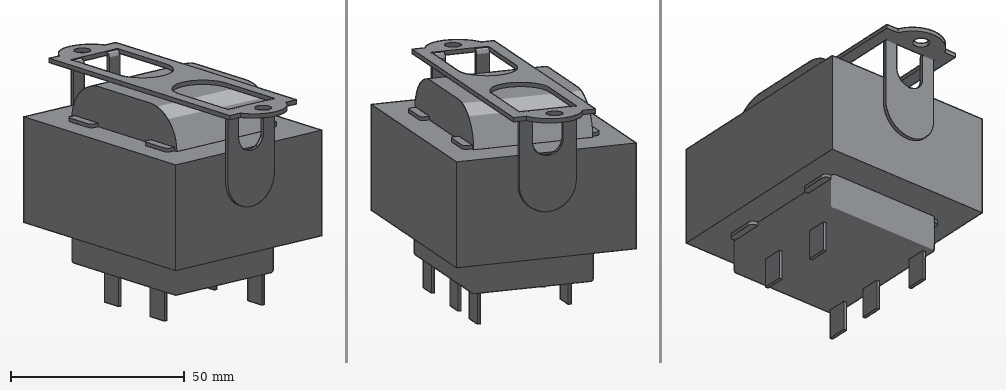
import cadquery as cq
import math

CORE_X = 66.68
CORE_Y = 55.58
CORE_Z = 31.6
CORE_TOP = CORE_Z / 2
CORE_BOTTOM = -CORE_TOP

PLATE_TOP_ABOVE_CORE = 13.3
PLATE_THICKNESS = 1.3
PLATE_X = 79.38
PLATE_Y = 25.4
PLATE_TOP = CORE_TOP + PLATE_TOP_ABOVE_CORE
PLATE_BOTTOM = PLATE_TOP - PLATE_THICKNESS
EAR_SPAN = 90.47
EAR_RADIUS = 9.53
MOUNT_HOLE_DIAMETER = 4.8
MOUNT_HOLE_SPACING = PLATE_X

STRAP_THICKNESS = 1.1
STRAP_WIDTH = 17.65
STRAP_DROP = 30.7
STRAP_SLOT_WIDTH = 9.53
STRAP_SLOT_DROP = 13.9
BEND_INNER_RADIUS = 0.45
BEND_OUTER_RADIUS = BEND_INNER_RADIUS + STRAP_THICKNESS
STRAP_INNER_X = CORE_X / 2
STRAP_OUTER_X = STRAP_INNER_X + STRAP_THICKNESS

WINDOW_WIDTH = STRAP_WIDTH
WINDOW_INNER_X = 4.42

COIL_X = 46.1
COIL_Y = 36.8
COIL_HEIGHT = PLATE_BOTTOM - CORE_TOP

TAB_INNER_X = 11.5
TAB_OUTER_X = 21.95
TAB_LENGTH_Y = 42.3
TAB_THICKNESS = 1.1
TAB_CORNER_RADIUS = 1.4

HOUSING_X = COIL_X
HOUSING_Y = 37.9
HOUSING_HEIGHT = 11.65
HOUSING_FILLET = 1.1
HOUSING_BOTTOM = CORE_BOTTOM - HOUSING_HEIGHT

OVERALL_Z = 65.99
TERMINAL_WIDTH = 6.35
TERMINAL_THICKNESS = 0.95
TERMINAL_ROW_Y = 16.07
TERMINAL_LENGTH = OVERALL_Z - (PLATE_TOP - HOUSING_BOTTOM)
FRONT_TERMINALS_X = (-7.8, 12.25)
REAR_TERMINALS_X = (-17.95, -2.95, 18.0)


def block(size_x, size_y, z_low, height):
    """Box centred on the Z axis, standing on z_low."""
    return cq.Workplane("XY").workplane(offset=z_low).rect(size_x, size_y).extrude(height)


def rounded_tongue(half_width, tip, root):
    """Closed XY outline running along X from a round tip to a square root."""
    direction = math.copysign(1, root - tip)
    arc_centre = tip + direction * half_width
    return (
        cq.Workplane("XY")
        .moveTo(root, half_width)
        .lineTo(arc_centre, half_width)
        .threePointArc((tip, 0), (arc_centre, -half_width))
        .lineTo(root, -half_width)
        .close()
    )


def make_coil():
    """Winding with quarter-round shoulders along both long sides."""
    coil = block(COIL_X, COIL_Y, CORE_BOTTOM, CORE_Z + COIL_HEIGHT)
    return coil.edges("|Y and >Z").fillet(COIL_HEIGHT)


def make_tabs():
    """Two bars passing along Y, showing a tab at each end of both core faces."""
    tab_centre_x = (TAB_INNER_X + TAB_OUTER_X) / 2
    return (
        cq.Workplane("XY")
        .workplane(offset=CORE_BOTTOM - TAB_THICKNESS)
        .pushPoints([(-tab_centre_x, 0), (tab_centre_x, 0)])
        .rect(TAB_OUTER_X - TAB_INNER_X, TAB_LENGTH_Y)
        .extrude(CORE_Z + 2 * TAB_THICKNESS)
        .edges("|Z")
        .fillet(TAB_CORNER_RADIUS)
    )


def make_housing():
    """Terminal housing with rounded upright and lower edges."""
    housing = block(HOUSING_X, HOUSING_Y, HOUSING_BOTTOM, HOUSING_HEIGHT)
    return housing.edges("|Z").fillet(HOUSING_FILLET).faces("<Z").edges().fillet(HOUSING_FILLET)


def make_terminals():
    """Blade terminals in a front row of two and a rear row of three."""
    places = [(x, -TERMINAL_ROW_Y) for x in FRONT_TERMINALS_X]
    places += [(x, TERMINAL_ROW_Y) for x in REAR_TERMINALS_X]
    return (
        cq.Workplane("XY")
        .workplane(offset=HOUSING_BOTTOM - TERMINAL_LENGTH)
        .pushPoints(places)
        .rect(TERMINAL_WIDTH, TERMINAL_THICKNESS)
        .extrude(TERMINAL_LENGTH)
    )


def plate_discs(centre_x, radius):
    """Pair of plate-thick discs at -X and +X."""
    return (
        cq.Workplane("XY")
        .workplane(offset=PLATE_BOTTOM)
        .pushPoints([(-centre_x, 0), (centre_x, 0)])
        .circle(radius)
        .extrude(PLATE_THICKNESS)
    )


def make_plate():
    """Flat plate with round ears, mounting holes and two windows."""
    plate = block(PLATE_X, PLATE_Y, PLATE_BOTTOM, PLATE_THICKNESS)
    ear_centre_x = EAR_SPAN / 2 - EAR_RADIUS
    hole_x = MOUNT_HOLE_SPACING / 2
    plate = plate.union(plate_discs(ear_centre_x, EAR_RADIUS))
    plate = plate.cut(plate_discs(hole_x, MOUNT_HOLE_DIAMETER / 2))
    for side in (-1, 1):
        window = rounded_tongue(WINDOW_WIDTH / 2, side * WINDOW_INNER_X, side * STRAP_OUTER_X)
        plate = plate.cut(window.extrude(PLATE_THICKNESS).translate((0, 0, PLATE_BOTTOM)))
    return plate


def make_strap():
    """Strap on the +X end: bent profile trimmed to a round end, with a slot at the bend."""
    bend_x = STRAP_OUTER_X + BEND_INNER_RADIUS
    bend_z = PLATE_BOTTOM - BEND_INNER_RADIUS
    diagonal = math.sqrt(0.5)
    low = PLATE_TOP - STRAP_DROP
    profile = (
        cq.Workplane("XZ")
        .moveTo(STRAP_INNER_X, low)
        .lineTo(STRAP_INNER_X, bend_z)
        .threePointArc(
            (bend_x - BEND_OUTER_RADIUS * diagonal, bend_z + BEND_OUTER_RADIUS * diagonal),
            (bend_x, bend_z + BEND_OUTER_RADIUS),
        )
        .lineTo(bend_x, PLATE_BOTTOM)
        .threePointArc(
            (bend_x - BEND_INNER_RADIUS * diagonal, bend_z + BEND_INNER_RADIUS * diagonal),
            (STRAP_OUTER_X, bend_z),
        )
        .lineTo(STRAP_OUTER_X, low)
        .close()
    )
    bent_sheet = profile.extrude(STRAP_WIDTH / 2, both=True)
    trim = upright_tongue(STRAP_WIDTH, STRAP_DROP)
    slot = upright_tongue(STRAP_SLOT_WIDTH, STRAP_SLOT_DROP)
    return bent_sheet.intersect(trim).cut(slot)


def upright_tongue(width, drop):
    """Prism through the +X strap: square at the plate top, round at its lower end."""
    half_width = width / 2
    arc_z = PLATE_TOP - drop + half_width
    return (
        cq.Workplane("YZ")
        .workplane(offset=STRAP_INNER_X)
        .moveTo(-half_width, PLATE_TOP)
        .lineTo(-half_width, arc_z)
        .threePointArc((0, PLATE_TOP - drop), (half_width, arc_z))
        .lineTo(half_width, PLATE_TOP)
        .close()
        .extrude(BEND_OUTER_RADIUS)
    )


strap = make_strap()
result = (
    block(CORE_X, CORE_Y, CORE_BOTTOM, CORE_Z)
    .union(make_coil())
    .union(make_tabs())
    .union(make_housing())
    .union(make_terminals())
    .union(make_plate())
    .union(strap)
    .union(strap.mirror("YZ"))
)